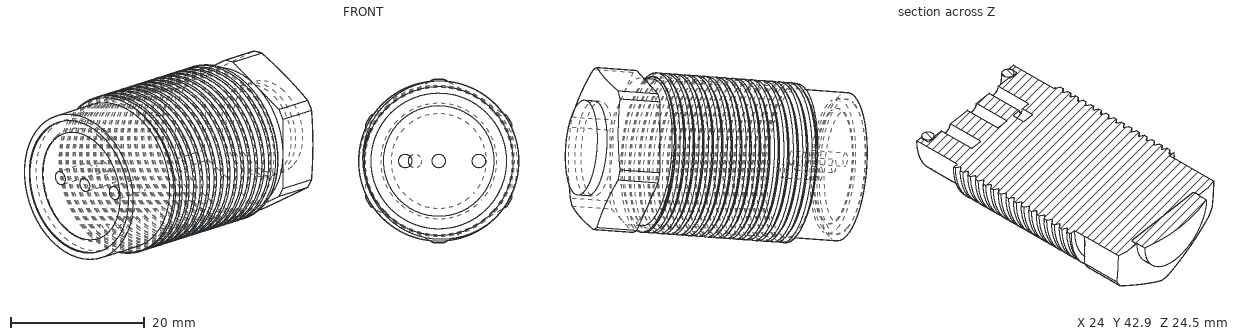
import cadquery as cq
import math

face_y = 0.4
thread_start_y = 8.35
thread_end_y = 31.4
hex_start_y = 33.35
hex_end_y = 40.35
button_rim_y = 41.9
button_top_y = 42.9

front_radius = 11.15
neck_radius = 11.02
hex_across_flats = 22.0
hex_corner_radius = 12.25
hex_chamfer_inner_radius = 9.45
hex_chamfer_angle = 13.0

thread_radius = 12.0
thread_pitch = 1.5
thread_depth = 0.7
thread_crest_width = 0.55
thread_root_width = 1.4
thread_lead_in = 1.4
thread_run_out_turns = 1.5
ridge_embedding = 0.02

ring_centre_radius = 9.2
ring_section_radius = 0.95
inner_face_y = 1.7
hole_diameter = 2.0
hole_depth = 6.0
offset_pocket_x = -3.55
offset_pocket_depth = 2.0
hole_places_x = (-5.0, 0.0, 6.0)

button_radius = 7.1
button_seat_depth = 1.0


def cylinder(radius, start_y, end_y, x=0.0):
    """Solid cylinder parallel to the Y axis."""
    return cq.Workplane("XZ", origin=(x, start_y, 0)).circle(radius).extrude(start_y - end_y)


def make_hex_head():
    """Hexagon with rounded corners and a conical chamfer on its rear end."""
    across_corners = hex_across_flats / math.cos(math.pi / 6)
    hexagon = (
        cq.Workplane("XZ", origin=(0, hex_start_y, 0))
        .transformed(rotate=(0, 0, 30))
        .polygon(6, across_corners)
        .extrude(hex_start_y - hex_end_y)
    )
    chamfer_width = hex_corner_radius - hex_chamfer_inner_radius
    chamfer_drop = chamfer_width * math.tan(math.radians(hex_chamfer_angle))
    envelope = (
        cq.Workplane("XY")
        .moveTo(0, hex_start_y)
        .lineTo(hex_corner_radius, hex_start_y)
        .lineTo(hex_corner_radius, hex_end_y - chamfer_drop)
        .lineTo(hex_chamfer_inner_radius, hex_end_y)
        .lineTo(0, hex_end_y)
        .close()
        .revolve(360, (0, 0, 0), (0, 1, 0))
    )
    return hexagon.intersect(envelope)


def make_thread():
    """Core cylinder with a right-hand helical ridge, cut square at both ends."""
    run_out = thread_run_out_turns * thread_pitch
    ridge_start_y = thread_start_y - thread_lead_in
    ridge_length = thread_end_y - ridge_start_y + run_out
    root_radius = thread_radius - thread_depth
    flank_slope = (thread_root_width - thread_crest_width) / 2 / thread_depth
    half_crest = thread_crest_width / 2
    half_base = thread_root_width / 2 + flank_slope * ridge_embedding
    base_radius = root_radius - ridge_embedding
    helix = cq.Wire.makeHelix(thread_pitch, ridge_length, root_radius)
    ridge = (
        cq.Workplane("XZ")
        .moveTo(base_radius, -half_base)
        .lineTo(thread_radius, -half_crest)
        .lineTo(thread_radius, half_crest)
        .lineTo(base_radius, half_base)
        .close()
        .sweep(cq.Workplane(obj=helix), isFrenet=True)
        .rotate((0, 0, 0), (1, 0, 0), -90)
        .translate((0, ridge_start_y, 0))
    )
    core = cylinder(root_radius, ridge_start_y - run_out, thread_end_y + 2 * run_out)
    long_thread = core.union(ridge)
    side = 3 * thread_radius
    length = thread_end_y - thread_start_y
    slab = cq.Workplane("XY").box(side, length, side).translate((0, thread_start_y + length / 2, 0))
    return long_thread.intersect(slab)


def make_housing():
    housing = (
        make_thread()
        .union(cylinder(front_radius, face_y, thread_start_y))
        .union(cylinder(neck_radius, thread_end_y, hex_start_y))
        .union(make_hex_head())
    )
    groove_floor_y = 2 * ring_section_radius
    edge_drop = inner_face_y - ring_section_radius
    hub_radius = ring_centre_radius - math.sqrt(ring_section_radius**2 - edge_drop**2)
    hub = cylinder(hub_radius, inner_face_y, groove_floor_y)
    recess = cylinder(ring_centre_radius + ring_section_radius, face_y, groove_floor_y).cut(hub)
    housing = housing.cut(recess)
    hole_floor_y = inner_face_y + hole_depth
    for x in hole_places_x:
        housing = housing.cut(cylinder(hole_diameter / 2, inner_face_y, hole_floor_y, x))
    offset_pocket = cylinder(
        hole_diameter / 2, hole_floor_y, hole_floor_y + offset_pocket_depth, offset_pocket_x
    )
    housing = housing.cut(offset_pocket)
    return housing.cut(cylinder(button_radius, hex_end_y - button_seat_depth, hex_end_y))


def make_o_ring():
    return cq.Workplane(
        obj=cq.Solid.makeTorus(
            ring_centre_radius,
            ring_section_radius,
            cq.Vector(0, ring_section_radius, 0),
            cq.Vector(0, 1, 0),
        )
    )


def make_button():
    """Disc seated in the hex head, with a shallow spherical dome on top."""
    seat_y = hex_end_y - button_seat_depth
    dome_height = button_top_y - button_rim_y
    dome_radius = (button_radius**2 + dome_height**2) / (2 * dome_height)
    mid_angle = math.asin(button_radius / dome_radius) / 2
    dome_centre_y = button_top_y - dome_radius
    dome_mid = (dome_radius * math.sin(mid_angle), dome_centre_y + dome_radius * math.cos(mid_angle))
    return (
        cq.Workplane("XY")
        .moveTo(0, seat_y)
        .lineTo(button_radius, seat_y)
        .lineTo(button_radius, button_rim_y)
        .threePointArc(dome_mid, (0, button_top_y))
        .close()
        .revolve(360, (0, 0, 0), (0, 1, 0))
    )


housing = make_housing()
o_ring = make_o_ring()
button = make_button()

result = cq.Compound.makeCompound([housing.val(), o_ring.val(), button.val()])